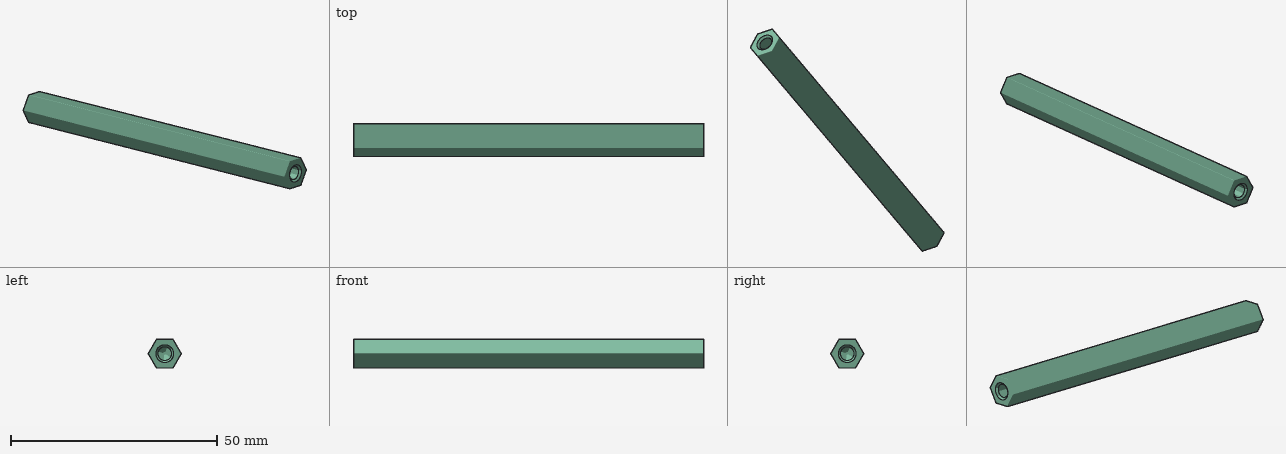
import cadquery as cq
import math

length = 85.0
across_flats = 7.0
edge_radius = 0.1

hole_diameter = 3.3
hole_depth = 10.0
drill_point_angle = 120.0
countersink_diameter = 4.3
countersink_angle = 90.0


def cone_height(base_radius, top_radius, included_angle):
    """Axial length of a cone frustum with the given included angle."""
    return (base_radius - top_radius) / math.tan(math.radians(included_angle / 2))


def hex_bar():
    """Bar with flats on +Z and -Z and all of its outer edges lightly rounded."""
    across_corners = across_flats / math.cos(math.radians(30))
    bar = cq.Workplane("YZ").polygon(6, across_corners).extrude(length)
    return bar.edges().fillet(edge_radius)


def end_hole():
    """Cutter for the hole at X = 0: countersink, bore and drill point."""
    hole_radius = hole_diameter / 2
    countersink_radius = countersink_diameter / 2
    countersink_depth = cone_height(countersink_radius, hole_radius, countersink_angle)
    tip_depth = hole_depth + cone_height(hole_radius, 0, drill_point_angle)
    half_profile = [
        (0, 0),
        (0, countersink_radius),
        (countersink_depth, hole_radius),
        (hole_depth, hole_radius),
        (tip_depth, 0),
    ]
    return cq.Workplane("XY").polyline(half_profile).close().revolve(360, (0, 0, 0), (1, 0, 0))


near_hole = end_hole()
far_hole = near_hole.mirror("YZ").translate((length, 0, 0))

result = hex_bar().cut(near_hole).cut(far_hole)